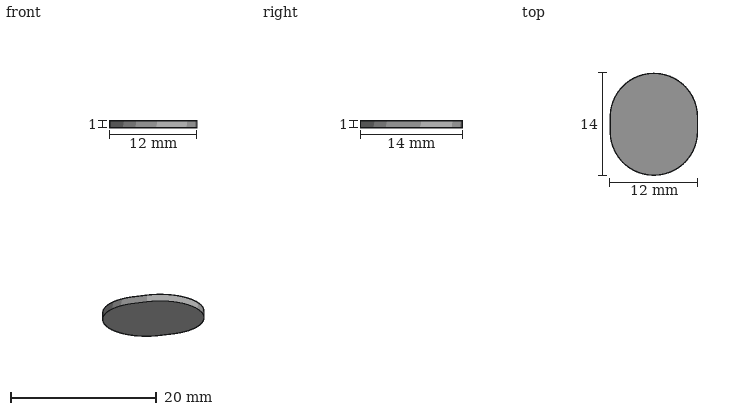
import cadquery as cq

width = 12.0
length = 14.0
thickness = 1.0

long_axis_angle = 90.0
result = (
    cq.Workplane("XY")
    .slot2D(length, width, long_axis_angle)
    .extrude(thickness)
)